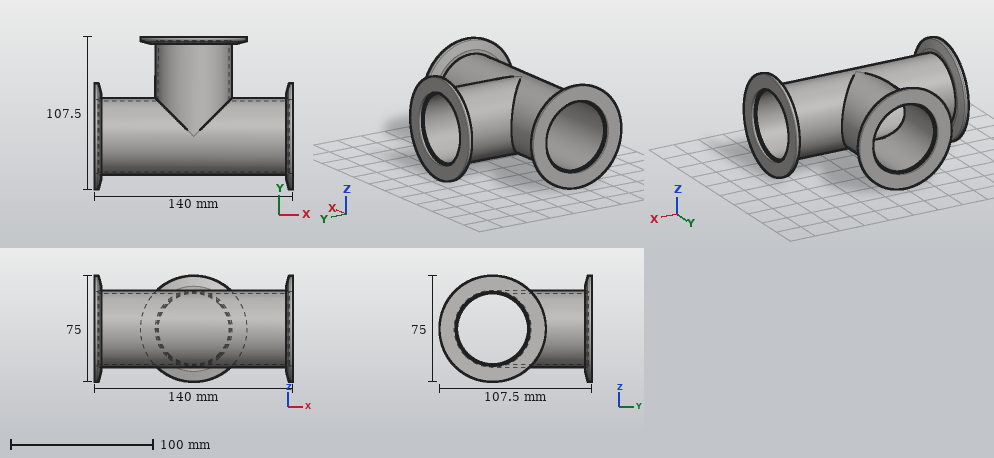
import cadquery as cq

run_length = 140.0
branch_length = 70.0
tube_diameter = 54.2
bore_diameter = 50.0

flange_diameter = 75.0
flange_thickness = 5.0
hub_diameter = 60.0
rim_width = 3.0
rim_radius = 1.0
face_edge_radius = 0.25
recess_diameter = 52.2
recess_depth = 2.5
mouth_diameter = 51.0
tube_end_depth = 3.5

ports = [
    ((-run_length / 2, 0, 0), (-1, 0, 0)),
    ((run_length / 2, 0, 0), (1, 0, 0)),
    ((0, branch_length, 0), (0, 1, 0)),
]


def crossed_rods(diameter):
    """Run and branch cylinders joined, each ending at a tube end."""
    half_run = run_length / 2 - tube_end_depth
    run = cq.Workplane("YZ").circle(diameter / 2).extrude(half_run, both=True)
    branch = cq.Workplane("XZ").circle(diameter / 2).extrude(tube_end_depth - branch_length)
    return run.union(branch)


def make_tee():
    """Mitred tee tube whose three ends seat in the flanges."""
    return crossed_rods(tube_diameter).cut(crossed_rods(bore_diameter))


def make_flange(center, direction):
    """Clamp flange with tapered back, rounded rim, centering recess and tube socket."""
    blank = (
        cq.Workplane("XY")
        .circle(flange_diameter / 2)
        .extrude(-rim_width)
        .faces("<Z")
        .workplane()
        .circle(flange_diameter / 2)
        .workplane(offset=flange_thickness - rim_width)
        .circle(hub_diameter / 2)
        .loft(combine=True)
    )
    rim = cq.selectors.RadiusNthSelector(-1)
    blank = blank.edges(rim).edges("<Z").fillet(rim_radius)

    mouth = cq.Workplane("XY").circle(mouth_diameter / 2).extrude(-tube_end_depth)
    recess = cq.Workplane("XY").circle(recess_diameter / 2).extrude(-recess_depth)
    socket = (
        cq.Workplane("XY")
        .workplane(offset=-flange_thickness)
        .circle(tube_diameter / 2)
        .extrude(flange_thickness - tube_end_depth)
    )
    flange = blank.cut(mouth).cut(recess).cut(socket)
    flange = flange.faces(">Z").edges().fillet(face_edge_radius)

    port_plane = cq.Plane(origin=center, xDir=(0, 0, 1), normal=direction)
    return flange.val().moved(cq.Location(port_plane))


tee = make_tee()
flanges = [make_flange(center, direction) for center, direction in ports]

result = cq.Compound.makeCompound([tee.val(), *flanges])